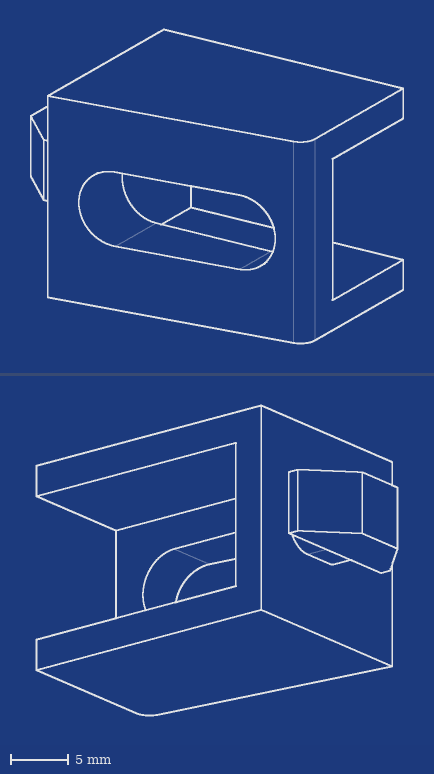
import cadquery as cq
import math

total_length = 32.7
block_length = 25.0
block_depth = 18.5
block_height = 19.0
taper_angle = 7.0
corner_radius = 1.47
slot_margin = 3.0
slot_height = 7.0
pocket_depth = 11.2
pocket_wall = 2.85
head_length = 5.0
head_width = 13.0
head_nose_width = 5.0
head_height = 5.7
head_bevel_length = 4.0
neck_width = 6.0
neck_height = 4.97
neck_radius = 2.5
tee_center_y = 11.5

block_start = total_length - block_length
neck_length = block_start - head_length
taper_rise = block_length * math.tan(math.radians(taper_angle))
slot_length = block_length - 2 * slot_margin


def make_block():
    """Block with a tapered front face and one rounded upright edge."""
    block = (
        cq.Workplane("XY")
        .polyline([
            (block_start, 0),
            (total_length, taper_rise),
            (total_length, block_depth),
            (block_start, block_depth),
        ])
        .close()
        .extrude(block_height / 2, both=True)
    )
    return block.edges("|Z and >X").edges("<Y").fillet(corner_radius)


def make_slot():
    """Round-ended clamping slot running right through along Y."""
    return (
        cq.Workplane("XZ")
        .center(block_start + block_length / 2, 0)
        .slot2D(slot_length, slot_height)
        .extrude(-block_depth)
    )


def make_pocket():
    """Wide recess behind the slot, open towards +Y and +X, leaving a flat clamping ledge."""
    pocket_height = block_height - 2 * pocket_wall
    return cq.Workplane("XY").box(
        block_length - pocket_wall, pocket_depth, pocket_height, centered=(False, False, True)
    ).translate((block_start + pocket_wall, block_depth - pocket_depth, 0))


def make_head():
    """T-slot head with a bevel on each side of its nose."""
    low_y = tee_center_y - head_width / 2
    high_y = tee_center_y + head_width / 2
    nose_low_y = tee_center_y - head_nose_width / 2
    nose_high_y = tee_center_y + head_nose_width / 2
    return (
        cq.Workplane("XY")
        .polyline([
            (0, nose_low_y),
            (head_bevel_length, low_y),
            (head_length, low_y),
            (head_length, high_y),
            (head_bevel_length, high_y),
            (0, nose_high_y),
        ])
        .close()
        .extrude(head_height / 2, both=True)
    )


def make_neck():
    """Rectangular neck with two diagonally opposite edges rounded."""
    neck = cq.Workplane("XY").box(neck_length, neck_width, neck_height, centered=(False, True, True))
    neck = neck.edges("|X and >Z").edges("<Y").fillet(neck_radius)
    neck = neck.edges("|X and <Z").edges(">Y").fillet(neck_radius)
    return neck.translate((head_length, tee_center_y, 0))


result = make_block().cut(make_slot()).cut(make_pocket()).union(make_neck()).union(make_head())